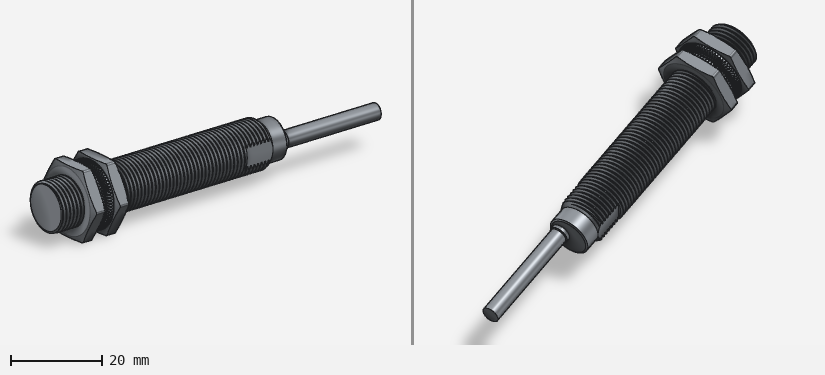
import cadquery as cq
import math


thread_radius = 6.0
pitch = 1.0
thread_depth = 0.53
crest_flat = pitch / 8
root_flat = pitch / 4
flank_width = (pitch - crest_flat - root_flat) / 2
root_radius = thread_radius - thread_depth
thread_start_angle = 33.0
run_out_turns = 2
barrel_length = 59.8
front_chamfer = 0.6
front_chamfer_length = 0.4
rear_chamfer_length = 1.2
crest_clearance = 0.4

flat_offset = 5.0
flat_length = 7.9

cap_radius = flat_offset
cap_length = 4.1
cap_chamfer = 0.2
cap_chamfer_length = 0.5
collar_radius = 2.3
collar_length = 1.1
collar_chamfer = 0.2
cable_radius = 2.0
cable_offset = 2.0
overall_length = 91.0

across_flats = 17.0
corner_fillet = 0.5
hex_thickness = 3.3
hex_chamfer_angle = 15.0
hex_face_radius = 8.0
flange_radius = 8.2
flange_thickness = 0.8
nut_thickness = hex_thickness + flange_thickness
tooth_count = 72
tooth_depth = 0.6
tooth_gap_share = 0.6
tooth_gap_overrun = 0.5
front_nut_face = 6.0
nut_gap = 1.7


def rod(radius, start, length, offset=0):
    """Solid cylinder along Y, from y = start towards +Y, offset along X from the sensor axis."""
    return cq.Workplane("XZ", origin=(offset, start, 0)).circle(radius).extrude(-length)


def make_thread_profile():
    """Corners of one pitch of thread as (radius, height): crest, falling flank, root, rising flank."""
    return [
        (thread_radius, 0),
        (thread_radius, crest_flat),
        (root_radius, crest_flat + flank_width),
        (root_radius, crest_flat + flank_width + root_flat),
        (thread_radius, pitch),
    ]


def make_thread_turn():
    """The four helical faces of one right-handed turn about Z."""
    helices = [
        cq.Wire.makeHelix(pitch, pitch, radius).translate(cq.Vector(0, 0, height))
        for radius, height in make_thread_profile()
    ]
    return [cq.Face.makeRuledSurface(lower, upper) for lower, upper in zip(helices, helices[1:])]


def make_thread_end():
    """Faces that close the thread: one turn of helicoid around the axis and the step it leaves."""
    axis_line = cq.Edge.makeLine(cq.Vector(0, 0, 0), cq.Vector(0, 0, pitch))
    helix = cq.Wire.makeHelix(pitch, pitch, thread_radius).Edges()[0]
    helicoid = cq.Face.makeRuledSurface(axis_line, helix)
    corners = [(0, 0), *make_thread_profile(), (0, pitch)]
    outline = [cq.Vector(radius, 0, height) for radius, height in corners]
    step = cq.Face.makeFromWires(cq.Wire.makePolygon(outline, close=True))
    return [helicoid, step]


def make_threaded_rod():
    """Threaded rod along Y that overshoots the barrel at both ends."""
    turns = math.ceil(barrel_length / pitch) + 2 * run_out_turns
    turn = make_thread_turn()
    end = make_thread_end()
    faces = [face.translate(cq.Vector(0, 0, index * pitch)) for index in range(turns) for face in turn]
    faces += end
    faces += [face.translate(cq.Vector(0, 0, turns * pitch)) for face in end]
    thread = cq.Workplane(cq.Solid.makeSolid(cq.Shell.makeShell(faces)))
    thread = thread.rotate((0, 0, 0), (0, 0, 1), thread_start_angle)
    return thread.rotate((0, 0, 0), (1, 0, 0), -90).translate((0, -run_out_turns * pitch, 0))


def make_barrel_envelope():
    """Outer limit of the barrel: conical chamfers at both ends and two wrench flats."""
    front_radius = thread_radius - front_chamfer
    clear_radius = thread_radius + crest_clearance
    front_rise = front_chamfer_length * (clear_radius - front_radius) / front_chamfer
    rear_rise = rear_chamfer_length * (clear_radius - cap_radius) / (thread_radius - cap_radius)
    envelope = (
        cq.Workplane("XY")
        .polyline([
            (0, 0),
            (front_radius, 0),
            (clear_radius, front_rise),
            (clear_radius, barrel_length - rear_rise),
            (cap_radius, barrel_length),
            (0, barrel_length),
        ])
        .close()
        .revolve(360, (0, 0, 0), (0, 1, 0))
    )
    for side in (-1, 1):
        envelope = envelope.cut(make_flat_cutter(side))
    return envelope


def make_flat_cutter(side):
    """Block that mills one wrench flat; side is +1 or -1 along X."""
    cutter_reach = 2 * thread_radius
    depth = thread_radius
    return (
        cq.Workplane("XY")
        .box(depth, flat_length, 2 * cutter_reach)
        .translate((side * (flat_offset + depth / 2), barrel_length - flat_length / 2, 0))
    )


def make_sensor():
    """Threaded barrel with its rear cap, strain-relief collar and off-centre cable."""
    sensor = make_threaded_rod().intersect(make_barrel_envelope())
    cap_end = barrel_length + cap_length
    cap = rod(cap_radius, barrel_length, cap_length).faces(">Y").chamfer(cap_chamfer, cap_chamfer_length)
    collar = rod(collar_radius, cap_end, collar_length, cable_offset).faces(">Y").chamfer(collar_chamfer)
    cable = rod(cable_radius, cap_end, overall_length - cap_end, cable_offset)
    return sensor.union(cap.union(collar).union(cable))


def make_hex_body():
    """Hexagon with rounded corners, chamfered conically on both faces; starts at y = 0."""
    corner_diameter = across_flats / math.cos(math.radians(30))
    hexagon = cq.Workplane("XZ").polygon(6, corner_diameter).extrude(-hex_thickness)
    hexagon = hexagon.edges("|Y").fillet(corner_fillet)
    reach = corner_diameter / 2
    drop = (reach - hex_face_radius) * math.tan(math.radians(hex_chamfer_angle))
    envelope = (
        cq.Workplane("XY")
        .polyline([
            (0, 0),
            (hex_face_radius, 0),
            (reach, drop),
            (reach, hex_thickness - drop),
            (hex_face_radius, hex_thickness),
            (0, hex_thickness),
        ])
        .close()
        .revolve(360, (0, 0, 0), (0, 1, 0))
    )
    return hexagon.intersect(envelope)


def make_tooth_gap():
    """V-shaped radial gap between two teeth, narrowing and getting shallower towards the axis."""
    half_angle = tooth_gap_share * math.pi / tooth_count

    def section(radius):
        half_width = radius * math.tan(half_angle)
        depth = tooth_depth * radius / flange_radius
        return cq.Wire.makePolygon([
            cq.Vector(radius, nut_thickness, -half_width),
            cq.Vector(radius, nut_thickness, half_width),
            cq.Vector(radius, nut_thickness - depth, 0),
        ], close=True)

    inner_section = section(thread_radius - tooth_gap_overrun)
    outer_section = section(flange_radius + tooth_gap_overrun)
    return cq.Solid.makeLoft([inner_section, outer_section], True)


def make_nut():
    """Nut with its plain hexagon face at y = 0 and its serrated face towards +Y."""
    nut = make_hex_body().union(rod(flange_radius, hex_thickness, flange_thickness))
    nut = nut.cut(rod(thread_radius, 0, nut_thickness))
    gap = make_tooth_gap()
    gaps = [
        gap.rotate(cq.Vector(0, 0, 0), cq.Vector(0, 1, 0), index * 360 / tooth_count)
        for index in range(tooth_count)
    ]
    return nut.cut(cq.Workplane(cq.Compound.makeCompound(gaps)))


sensor = make_sensor()

nut = make_nut()
front_nut = nut.translate((0, front_nut_face, 0))
rear_nut_face = front_nut_face + 2 * nut_thickness + nut_gap
rear_nut = nut.rotate((0, 0, 0), (0, 0, 1), 180).translate((0, rear_nut_face, 0))
nuts = [front_nut, rear_nut]

result = cq.Compound.makeCompound([sensor.val(), *[each.val() for each in nuts]])